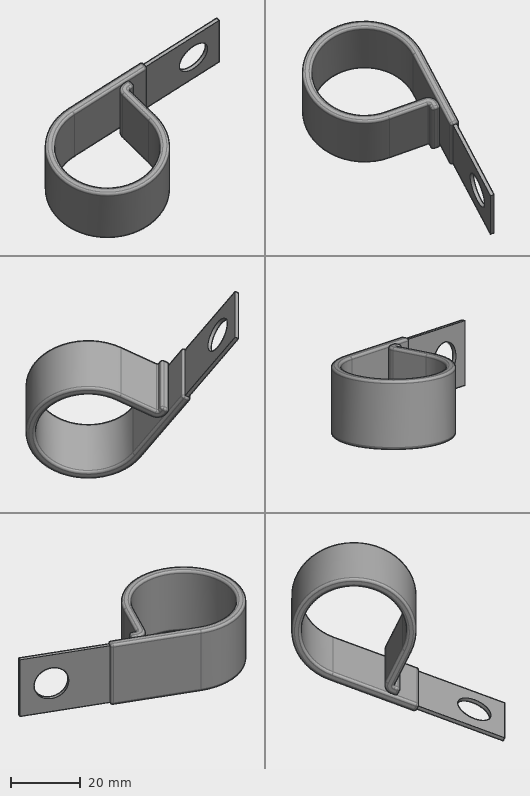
import cadquery as cq
import math

overall_length = 71.8
overall_width = 35.7
sleeve_height = 20.55
strap_height = 19.25
strap_thickness = 1.15
cushion = 0.8
sleeve_thickness = strap_thickness + 2 * cushion

loop_outer = overall_width / 2
loop_inner = loop_outer - sleeve_thickness
loop_middle = loop_outer - sleeve_thickness / 2

sleeve_end_y = 27.0
tail_end_y = overall_length - loop_outer

hook_inner_radius = 0.35
hook_outer_radius = hook_inner_radius + sleeve_thickness
hook_gap = 0.035
hook_left_x = -loop_inner + hook_gap
hook_right_x = hook_left_x + sleeve_thickness
hook_center_x = hook_left_x + hook_outer_radius
hook_center_y = loop_inner + hook_outer_radius
hook_end_y = 20.0

hole_diameter = 10.35
hole_to_tail_end = 9.5


def on_hook(radius):
    """Point midway round the hook bend at the given radius."""
    offset = radius * math.sqrt(0.5)
    return hook_center_x - offset, hook_center_y - offset


def on_loop(radius):
    """Point midway round the three-quarter loop at the given radius."""
    offset = radius * math.sqrt(0.5)
    return offset, -offset


def make_sleeve():
    """Constant-thickness band: straight leg, loop, arm and hook, rounded on every edge."""
    band = (
        cq.Workplane("XY")
        .workplane(offset=-sleeve_height / 2)
        .moveTo(-loop_outer, sleeve_end_y)
        .lineTo(-loop_outer, 0)
        .threePointArc(on_loop(loop_outer), (0, loop_outer))
        .lineTo(hook_center_x, loop_outer)
        .threePointArc(on_hook(hook_inner_radius), (hook_right_x, hook_center_y))
        .lineTo(hook_right_x, hook_end_y)
        .lineTo(hook_left_x, hook_end_y)
        .lineTo(hook_left_x, hook_center_y)
        .threePointArc(on_hook(hook_outer_radius), (hook_center_x, loop_inner))
        .lineTo(0, loop_inner)
        .threePointArc(on_loop(loop_inner), (-loop_inner, 0))
        .lineTo(-loop_inner, sleeve_end_y)
        .close()
        .extrude(sleeve_height)
    )
    end_corners = band.faces(">Y or >Y[-2]").edges("|Z")
    rims = band.faces("<Z or >Z").edges()
    return band.newObject(end_corners.vals() + rims.vals()).fillet(cushion)


def make_tail():
    """Bare strap running from inside the straight leg to the mounting end, with its bolt hole."""
    tail = cq.Workplane("XY").box(strap_thickness, tail_end_y, strap_height)
    tail = tail.translate((-loop_middle, tail_end_y / 2, 0))
    hole = (
        cq.Workplane("YZ", origin=(-loop_outer, tail_end_y - hole_to_tail_end, 0))
        .circle(hole_diameter / 2)
        .extrude(sleeve_thickness)
    )
    return tail.cut(hole)


result = make_sleeve().union(make_tail())